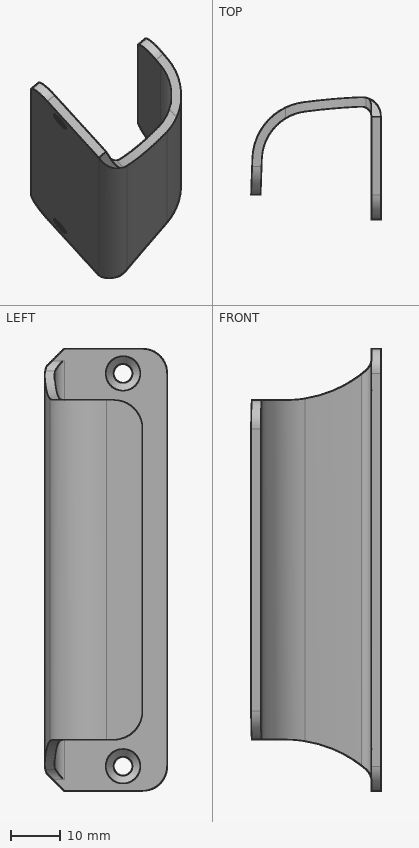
import cadquery as cq
import math

width = 26.5
depth = 24.9
height = 90.0
thickness = 2.0

bend_radius = 4.0
grip_radius = 12.0
web_radius = 134.3
web_start_normal = 92.5
web_end_normal = 97.5
lip_normal = 178.0
lip_end_y = 5.0

grip_height = 69.1
flare_start_x = -19.4
flare_radius = 25.2
flare_end_x = -3.15
notch_top_z = 87.6

plate_corner_radius = 5.0
plate_chamfer = 4.0
lip_corner_radius = 5.85
hole_y = 9.0
hole_inset = 5.0
hole_diameter = 3.8
sink_diameter = 7.0
sink_angle = 90.0

def polar(center, radius, degrees):
    angle = math.radians(degrees)
    return (center[0] + radius * math.cos(angle), center[1] + radius * math.sin(angle))


bend_center = (-bend_radius, depth - bend_radius)
web_center = polar(bend_center, bend_radius - web_radius, web_start_normal)
grip_center = polar(web_center, web_radius - grip_radius, web_end_normal)


def lip_end(inset):
    """Point where a lip face, inset from the outer face, meets the lip end."""
    x, y = polar(grip_center, grip_radius - inset, lip_normal)
    return (x + (y - lip_end_y) * math.tan(math.radians(lip_normal)), lip_end_y)


def make_sheet():
    """Constant-thickness bent section, extruded over the full height."""
    bends = [
        (bend_center, bend_radius, 0, web_start_normal),
        (web_center, web_radius, web_start_normal, web_end_normal),
        (grip_center, grip_radius, web_end_normal, lip_normal),
    ]
    outline = cq.Workplane("XY").moveTo(0, 0).lineTo(0, bend_center[1])
    for center, radius, start, end in bends:
        outline = outline.threePointArc(
            polar(center, radius, (start + end) / 2),
            polar(center, radius, end),
        )
    outline = outline.lineTo(*lip_end(0)).lineTo(*lip_end(thickness))
    outline = outline.lineTo(*polar(grip_center, grip_radius - thickness, lip_normal))
    for center, radius, start, end in reversed(bends):
        outline = outline.threePointArc(
            polar(center, radius - thickness, (start + end) / 2),
            polar(center, radius - thickness, start),
        )
    return outline.lineTo(-thickness, 0).close().extrude(height)


def make_end_cutter():
    """Material removed above the grip, flaring up to the plate."""
    margin = 0.9
    grip_top = (height + grip_height) / 2

    def flare_point(x):
        run = x - flare_start_x
        return (x, grip_top + flare_radius - math.sqrt(flare_radius**2 - run**2))

    return (
        cq.Workplane("XZ", origin=(0, depth + margin, 0))
        .moveTo(-width - margin, grip_top)
        .lineTo(flare_start_x, grip_top)
        .threePointArc(flare_point((flare_start_x + flare_end_x) / 2), flare_point(flare_end_x))
        .tangentArcPoint((-thickness, notch_top_z), relative=False)
        .lineTo(-thickness, height + margin)
        .lineTo(-width - margin, height + margin)
        .close()
        .extrude(depth + 2 * margin)
    )


def make_screw_hole(z):
    """Through hole countersunk from the inner face of the plate."""
    sink_depth = (sink_diameter - hole_diameter) / 2 / math.tan(math.radians(sink_angle / 2))
    axis_plane = cq.Workplane("YZ", origin=(-thickness, hole_y, z))
    hole = axis_plane.circle(hole_diameter / 2).extrude(thickness)
    sink = axis_plane.circle(sink_diameter / 2).extrude(sink_depth, taper=sink_angle / 2)
    return hole.union(sink)


def make_chamfer_cutter():
    """Wedge that bevels the bent-side corner at the top of the plate."""
    return (
        cq.Workplane("YZ", origin=(-width, 0, 0))
        .moveTo(depth, height)
        .lineTo(depth - plate_chamfer, height)
        .lineTo(depth, height - plate_chamfer)
        .close()
        .extrude(width)
    )


result = make_sheet()
for cutter in (make_end_cutter(), make_chamfer_cutter()):
    lower_cutter = cutter.mirror("XY", (0, 0, height / 2))
    result = result.cut(cutter).cut(lower_cutter)

result = result.faces("<Y").edges("|X").fillet(plate_corner_radius)
lip_box = cq.selectors.BoxSelector(
    (-width - thickness, lip_end_y - thickness, 0),
    (-width / 2, lip_end_y + thickness, height),
)
result = result.edges(lip_box).edges("|X").fillet(lip_corner_radius)

for z in (hole_inset, height - hole_inset):
    result = result.cut(make_screw_hole(z))